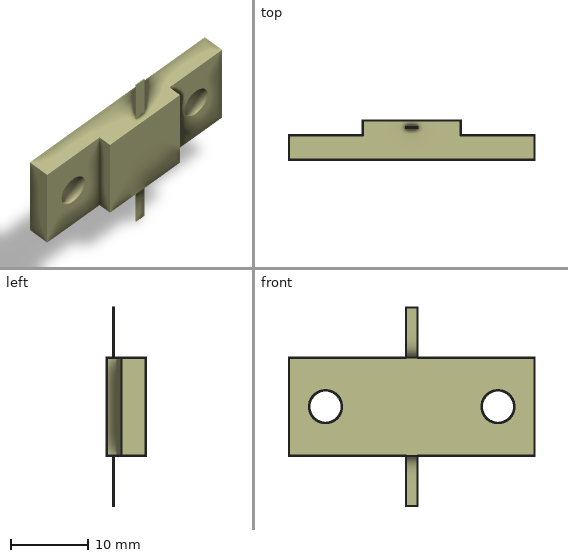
import cadquery as cq

flange_length = 31.75
body_height = 12.7
flange_thickness = 3.18

hole_diameter = 4.2
hole_spacing = 22.3

total_depth = 5.08
block_width = body_height
block_depth = total_depth - flange_thickness

lead_span = 25.7
lead_width = 1.5
lead_thickness = 0.13
lead_center_y = 4.15


def centered_box(width, depth, height, start_y):
    """Box centred on X and Z whose front face lies at start_y."""
    box = cq.Workplane("XY").box(width, depth, height, centered=(True, False, True))
    return box.translate((0, start_y, 0))


flange = (
    centered_box(flange_length, flange_thickness, body_height, 0)
    .faces("<Y")
    .workplane(centerOption="CenterOfBoundBox")
    .pushPoints([(-hole_spacing / 2, 0), (hole_spacing / 2, 0)])
    .hole(hole_diameter)
)
block = centered_box(block_width, block_depth, body_height, flange_thickness)

lead_strip = centered_box(lead_width, lead_thickness, lead_span, lead_center_y - lead_thickness / 2)

result = flange.union(block).union(lead_strip)